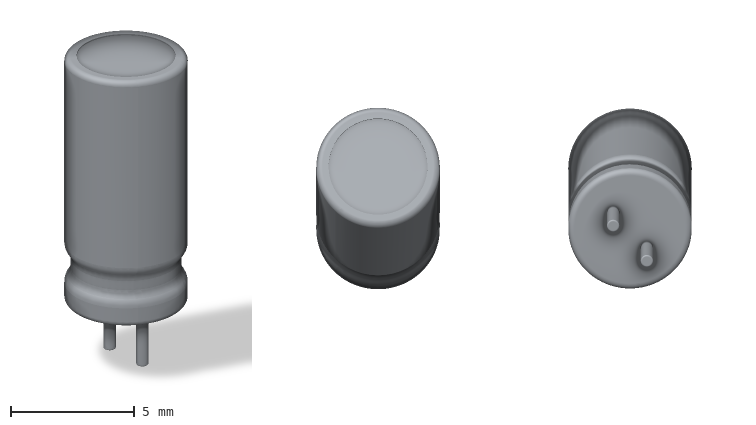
import cadquery as cq
import math

can_diameter = 5.0
can_radius = can_diameter / 2
can_height = 11.0
rim_fillet = can_radius / 10

groove_center_height = 1.75
groove_depth = can_radius / 10
groove_radius = can_radius - groove_depth
groove_half_width = 0.9
groove_floor_half_width = 0.2

disc_diameter = 4.0
disc_radius = disc_diameter / 2
disc_recess = 0.05
disc_thickness = 0.2

stripe_width = can_radius

lead_diameter = 0.5
lead_pitch = 2.0
lead_length = 13.5 - can_height
lead_tip_fillet = lead_diameter / 8


def flank_arc_points():
    """Return (radius, distance from the groove center) for points along a flank, floor to outside.

    The flank is two equal arcs, tangent to each other and to the vertical walls at both ends.
    """
    half_rise = groove_depth / 2
    half_run = (groove_half_width - groove_floor_half_width) / 2
    arc_radius = (half_rise**2 + half_run**2) / (2 * half_rise)
    half_angle = math.asin(half_run / arc_radius) / 2
    arc_rise = arc_radius * (1 - math.cos(half_angle))
    arc_run = arc_radius * math.sin(half_angle)
    return [
        (groove_radius, groove_floor_half_width),
        (groove_radius + arc_rise, groove_floor_half_width + arc_run),
        (groove_radius + half_rise, groove_floor_half_width + half_run),
        (can_radius - arc_rise, groove_half_width - arc_run),
        (can_radius, groove_half_width),
    ]


def make_can_blank():
    """Full round can with rounded rims and the crimp groove."""
    flank = flank_arc_points()
    lower = [(r, groove_center_height - offset) for r, offset in reversed(flank)]
    upper = [(r, groove_center_height + offset) for r, offset in flank]
    profile = (
        cq.Workplane("XZ")
        .lineTo(can_radius, 0)
        .lineTo(*lower[0])
        .threePointArc(lower[1], lower[2])
        .threePointArc(lower[3], lower[4])
        .lineTo(*upper[0])
        .threePointArc(upper[1], upper[2])
        .threePointArc(upper[3], upper[4])
        .lineTo(can_radius, can_height)
        .lineTo(0, can_height)
        .close()
    )
    blank = profile.revolve(360, (0, 0), (0, 1))
    return blank.faces("<Z or >Z").edges().fillet(rim_fillet)


def make_stripe(blank):
    """Full-height section of the can wall, outside the disc radius."""
    slab = cq.Workplane("XY").box(can_radius, stripe_width, can_height, centered=(False, True, False))
    core = cq.Workplane("XY").circle(disc_radius).extrude(can_height)
    return blank.intersect(slab.cut(core))


def make_can(blank, stripe):
    """Can with a seat for the disc and a slot for the stripe."""
    seat_height = can_height - disc_recess - disc_thickness
    seat = (
        cq.Workplane("XY")
        .workplane(offset=seat_height)
        .circle(disc_radius)
        .extrude(can_height - seat_height)
    )
    return blank.cut(seat).cut(stripe)


def make_top_disc():
    bottom_height = can_height - disc_recess - disc_thickness
    return cq.Workplane("XY").workplane(offset=bottom_height).circle(disc_radius).extrude(disc_thickness)


def make_lead(x):
    """Round lead hanging from the underside of the can, with a rounded tip."""
    lead = cq.Workplane("XY").center(x, 0).circle(lead_diameter / 2).extrude(-lead_length)
    return lead.faces("<Z").edges().fillet(lead_tip_fillet)


can_blank = make_can_blank()
stripe = make_stripe(can_blank)
can = make_can(can_blank, stripe)
top_disc = make_top_disc()

leads = []
for side in (-1, 1):
    leads.append(make_lead(side * lead_pitch / 2).val())

result = cq.Compound.makeCompound([can.val(), stripe.val(), top_disc.val(), *leads])